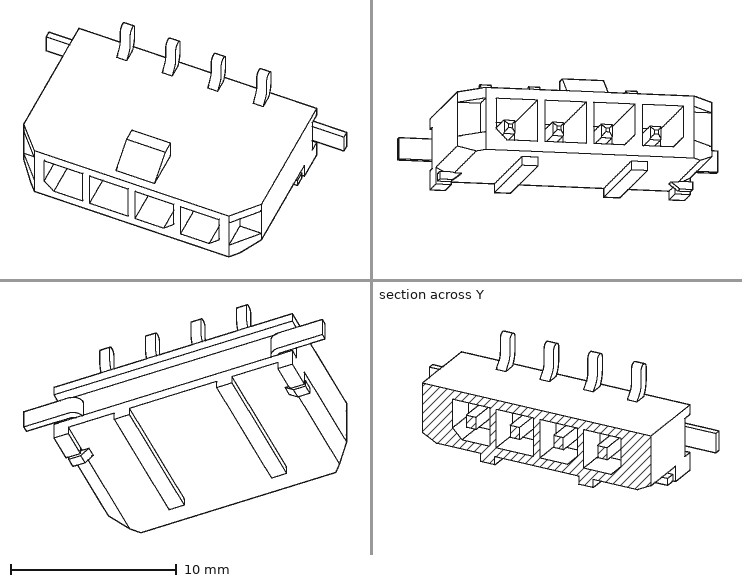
import cadquery as cq
import math


OVERALL_WIDTH = 19.65
OVERALL_HEIGHT = 6.55

WIDTH = 15.69
DEPTH = 9.93
HEIGHT = 3.83
HALF_WIDTH = WIDTH / 2
WALL = 0.645

CORNER_X = 1.43
CORNER_Y = 1.66
CORNER_POCKET_BOTTOM = 1.10
CORNER_POCKET_TOP = HEIGHT - WALL

BEVEL_X = 0.95
BEVEL_Z = 0.49

STANDOFF = 0.54
REAR_FOOT_LENGTH = 1.84
RIB_WIDTH = 1.0
RIB_CENTER_X = 3.37
RIB_FRONT_Y = 1.60
LUG_REAR_Y = DEPTH - 2.12
LUG_LENGTH = 0.66
LUG_OUTER_X = HALF_WIDTH - 0.05
LUG_TIP_X = 7.0
LUG_ROOT_X = 6.45
LUG_TOP = 0.05
LUG_BOTTOM = -0.42

CONTACT_COUNT = 4
PITCH = 3.0
SOCKET_SIZE = HEIGHT - 2 * WALL
SOCKET_DEPTH = 7.0
KEY_CHAMFER = 0.65
LEFT_KEYED_SOCKETS = (0,)
RIGHT_KEYED_SOCKETS = (2, 3)
PIN_WIDTH = 0.66
PIN_HEIGHT = 0.83
PIN_TIP_SIZE = 0.24
PIN_TIP_LENGTH = 0.25
PIN_NECK_HEIGHT = 0.70
PIN_NECK_LENGTH = 0.12
PIN_RECESS = 2.0
PIN_CENTER_Z = 1.945

TAIL_THICKNESS = 0.66
TAIL_TOP = OVERALL_HEIGHT - STANDOFF
TAIL_BEND_Z = 4.77
TAIL_BEND_ANGLE = math.radians(41)
TAIL_INNER_RADIUS = 0.90
TAIL_ROOT_LENGTH = 0.8

LATCH_WIDTH = 2.55
LATCH_HEIGHT = 1.18
LATCH_REAR_Y = DEPTH - 6.98
LATCH_FLAT_Y = LATCH_REAR_Y - 0.79
LATCH_FRONT_Y = 0.55

RECESS_DEPTH = 0.66
TAB_END_X = OVERALL_WIDTH / 2
TAB_THICKNESS = 0.42
TAB_BOTTOM = 1.22
TAB_TOP = 2.53
TAB_LEG_OUTER_X = 6.6
TAB_INNER_RADIUS = 0.3
TAB_LEG_END_Y = DEPTH - 1.5


def box(x0, x1, y0, y1, z0, z1):
    """Axis-aligned block between opposite corners."""
    return cq.Workplane("XY").box(x1 - x0, y1 - y0, z1 - z0, centered=False).translate((x0, y0, z0))


def with_mirror(shape):
    """The shape together with its copy on the other side of the YZ plane."""
    return shape.union(shape.mirror("YZ"))


def contact_x(index):
    """X position of a contact, counted from the -X end of the row."""
    return (index - (CONTACT_COUNT - 1) / 2) * PITCH


def make_housing():
    """Block with cut-off front corners, pockets in those corners and bevelled lower sides."""
    body = box(-HALF_WIDTH, HALF_WIDTH, 0, DEPTH, 0, HEIGHT)
    corner = (
        cq.Workplane("XY")
        .moveTo(HALF_WIDTH, 0)
        .lineTo(HALF_WIDTH, CORNER_Y)
        .lineTo(HALF_WIDTH - CORNER_X, 0)
        .close()
        .extrude(HEIGHT)
    )
    pocket = box(
        HALF_WIDTH - CORNER_X, HALF_WIDTH, 0, CORNER_Y, CORNER_POCKET_BOTTOM, CORNER_POCKET_TOP
    )
    bevel = (
        cq.Workplane("XZ")
        .moveTo(HALF_WIDTH, 0)
        .lineTo(HALF_WIDTH, BEVEL_Z)
        .lineTo(HALF_WIDTH - BEVEL_X, 0)
        .close()
        .extrude(-(DEPTH - REAR_FOOT_LENGTH))
    )
    recess = box(
        -HALF_WIDTH, HALF_WIDTH, DEPTH - RECESS_DEPTH, DEPTH, WALL, HEIGHT - WALL
    )
    return body.cut(with_mirror(corner.union(pocket).union(bevel))).cut(recess)


def make_feet():
    """Rear corner feet, standoff ribs and small tapered lugs under the side bevels."""
    foot = box(
        HALF_WIDTH - BEVEL_X, HALF_WIDTH, DEPTH - REAR_FOOT_LENGTH, DEPTH, -STANDOFF, WALL
    )
    rib_inner_x = RIB_CENTER_X - RIB_WIDTH / 2
    rib = box(rib_inner_x, rib_inner_x + RIB_WIDTH, RIB_FRONT_Y, DEPTH, -STANDOFF, 0)
    lug = (
        cq.Workplane("XZ", origin=(0, LUG_REAR_Y, 0))
        .moveTo(LUG_OUTER_X, LUG_BOTTOM)
        .lineTo(LUG_OUTER_X, LUG_TOP)
        .lineTo(LUG_ROOT_X, LUG_TOP)
        .lineTo(LUG_ROOT_X, 0)
        .lineTo(LUG_TIP_X, LUG_BOTTOM)
        .close()
        .extrude(LUG_LENGTH)
    )
    return with_mirror(foot.union(rib).union(lug))


def make_socket(index):
    """Square cavity, with one lower corner filled by a keying chamfer in some positions."""
    half = SOCKET_SIZE / 2
    center_x = contact_x(index)
    socket = box(center_x - half, center_x + half, 0, SOCKET_DEPTH, WALL, WALL + SOCKET_SIZE)
    if index in LEFT_KEYED_SOCKETS:
        socket = socket.edges("|Y and <X and <Z").chamfer(KEY_CHAMFER)
    if index in RIGHT_KEYED_SOCKETS:
        socket = socket.edges("|Y and >X and <Z").chamfer(KEY_CHAMFER)
    return socket


def make_pin(index):
    """Straight pin standing on the socket floor, narrowing in height and then to a point."""
    shoulder_y = PIN_RECESS + PIN_TIP_LENGTH + PIN_NECK_LENGTH
    section = cq.Workplane("XZ", origin=(contact_x(index), shoulder_y, PIN_CENTER_Z))
    shank = section.rect(PIN_WIDTH, PIN_HEIGHT).extrude(shoulder_y - SOCKET_DEPTH)
    neck = (
        section.rect(PIN_WIDTH, PIN_HEIGHT)
        .workplane(offset=PIN_NECK_LENGTH)
        .rect(PIN_WIDTH, PIN_NECK_HEIGHT)
        .loft(combine=True)
    )
    tip = (
        section.workplane(offset=PIN_NECK_LENGTH)
        .rect(PIN_WIDTH, PIN_NECK_HEIGHT)
        .workplane(offset=PIN_TIP_LENGTH)
        .rect(PIN_TIP_SIZE, PIN_TIP_SIZE)
        .loft(combine=True)
    )
    return shank.union(neck).union(tip)


def make_tail(index):
    """Solder tail: rounded end, straight stretch, bend, and sloped root in the housing roof."""
    inner_y = DEPTH - TAIL_THICKNESS
    bend_center_y = inner_y - TAIL_INNER_RADIUS
    outer_radius = TAIL_INNER_RADIUS + TAIL_THICKNESS

    def on_bend(radius, angle):
        return (bend_center_y + radius * math.cos(angle), TAIL_BEND_Z - radius * math.sin(angle))

    def root_end(radius):
        y, z = on_bend(radius, TAIL_BEND_ANGLE)
        return (
            y - TAIL_ROOT_LENGTH * math.sin(TAIL_BEND_ANGLE),
            z - TAIL_ROOT_LENGTH * math.cos(TAIL_BEND_ANGLE),
        )

    round_end_z = TAIL_TOP - TAIL_THICKNESS / 2
    half_bend = TAIL_BEND_ANGLE / 2
    return (
        cq.Workplane("YZ", origin=(contact_x(index) - PIN_WIDTH / 2, 0, 0))
        .moveTo(inner_y, TAIL_BEND_Z)
        .lineTo(inner_y, round_end_z)
        .threePointArc((DEPTH - TAIL_THICKNESS / 2, TAIL_TOP), (DEPTH, round_end_z))
        .lineTo(DEPTH, TAIL_BEND_Z)
        .threePointArc(on_bend(outer_radius, half_bend), on_bend(outer_radius, TAIL_BEND_ANGLE))
        .lineTo(*root_end(outer_radius))
        .lineTo(*root_end(TAIL_INNER_RADIUS))
        .lineTo(*on_bend(TAIL_INNER_RADIUS, TAIL_BEND_ANGLE))
        .threePointArc(on_bend(TAIL_INNER_RADIUS, half_bend), (inner_y, TAIL_BEND_Z))
        .close()
        .extrude(PIN_WIDTH)
    )


def make_latch():
    """Latch ramp on the roof, rising from front to back."""
    return (
        cq.Workplane("YZ", origin=(-LATCH_WIDTH / 2, 0, HEIGHT))
        .moveTo(LATCH_FRONT_Y, 0)
        .lineTo(LATCH_FLAT_Y, LATCH_HEIGHT)
        .lineTo(LATCH_REAR_Y, LATCH_HEIGHT)
        .lineTo(LATCH_REAR_Y, 0)
        .close()
        .extrude(LATCH_WIDTH)
    )


def make_tabs():
    """Flat tabs reaching out sideways, each bent forward into the back of the housing."""
    leg_inner_x = TAB_LEG_OUTER_X - TAB_THICKNESS
    tab_front_y = DEPTH - TAB_THICKNESS
    blade = box(leg_inner_x, TAB_END_X, tab_front_y, DEPTH, TAB_BOTTOM, TAB_TOP)
    leg = box(leg_inner_x, TAB_LEG_OUTER_X, TAB_LEG_END_Y, DEPTH, TAB_BOTTOM, TAB_TOP)
    inner_corner = cq.selectors.NearestToPointSelector(
        (TAB_LEG_OUTER_X, tab_front_y, (TAB_BOTTOM + TAB_TOP) / 2)
    )
    outer_corner = cq.selectors.NearestToPointSelector(
        (leg_inner_x, DEPTH, (TAB_BOTTOM + TAB_TOP) / 2)
    )
    tab = blade.union(leg).edges(inner_corner).fillet(TAB_INNER_RADIUS)
    tab = tab.edges(outer_corner).fillet(TAB_INNER_RADIUS + TAB_THICKNESS)
    return with_mirror(tab)


result = make_housing().union(make_feet()).union(make_latch()).union(make_tabs())
for contact in range(CONTACT_COUNT):
    result = result.cut(make_socket(contact))
    result = result.union(make_pin(contact)).union(make_tail(contact))